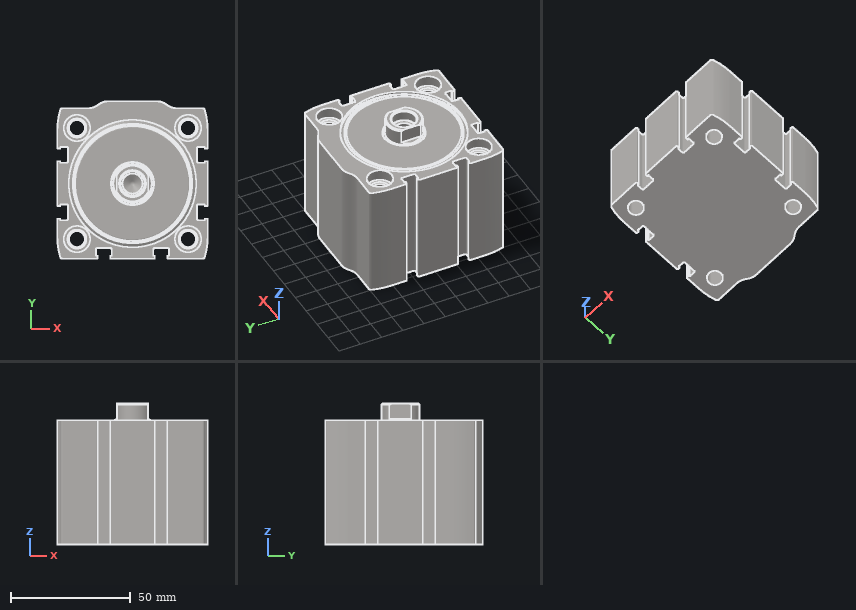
import cadquery as cq
import math

WIDTH = 63.0
DEPTH = 66.0
HOUSING_HEIGHT = 52.0
TOTAL_HEIGHT = 59.0
HALF = WIDTH / 2
BULGE_Y = DEPTH - HALF
BULGE_HALF_WIDTH = 10.0
BULGE_RADIUS = 7.0
SIDE_FLAT_HALF = 22.25
SIDE_ARC_RADIUS = 30.0
CORNER_RADIUS = 1.2

SLOT_OFFSET = 12.0
SLOT_MOUTH = 5.2
SLOT_INNER = 6.5
SLOT_DEPTH = 4.5
SLOT_LIP = 1.4
SLOT_EDGE_RADIUS = 0.45

BOLT_OFFSET = 23.2
BOLT_HOLE_DIAMETER = 6.65
BOLT_CHAMFER_DIAMETER = 8.0
BOLT_COUNTERBORE_DIAMETER = 11.0
BOLT_COUNTERBORE_DEPTH = 5.0

GROOVE_DIAMETER = 53.3
GROOVE_RIDGE_DIAMETER = 50.0
GROOVE_DEPTH = 1.25
RIDGE_DROP = 0.3
RIDGE_INNER_DIAMETER = 49.4
RIDGE_STEP = 0.9
COVER_BEVEL_DIAMETER = 48.05
COVER_FACE_DIAMETER = 46.7
COVER_BEVEL_DROP = 0.1
COVER_DROP = 0.3

WIPER_RECESS_DIAMETER = 18.1
WIPER_FOOT_DIAMETER = 17.5
WIPER_RECESS_DEPTH = 1.2
WIPER_HEIGHT = 0.9

ROD_DIAMETER = 16.0
ROD_LENGTH = 30.0
ROD_CHAMFER = 0.5
FLAT_WIDTH = 13.1
FLAT_END_ABOVE_HOUSING = 0.6
FLAT_RUNOUT_ANGLE = 30
BORE_CHAMFER_DIAMETER = 11.35
BORE_DIAMETER = 10.5
BORE_DEPTH = 5.0
THREAD_MAJOR_DIAMETER = 10.0
THREAD_MINOR_DIAMETER = 8.4
THREAD_DEPTH = 15.0
DRILL_POINT_ANGLE = 118

ROD_BOTTOM = TOTAL_HEIGHT - ROD_LENGTH


def revolved(profile):
    """Solid of revolution about Z from (radius, height) points."""
    return cq.Workplane("XZ").polyline(profile).close().revolve(360, (0, 0), (0, 1))


def rod_cylinder():
    """Plain rod cylinder, also the cutter for its blind hole in the housing."""
    return cq.Workplane("XY", origin=(0, 0, ROD_BOTTOM)).circle(ROD_DIAMETER / 2).extrude(ROD_LENGTH)


def housing_blank():
    """Extruded outline: sides curving in at both ends, and a central bulge on the +Y side."""
    rise = BULGE_Y - HALF
    bulge_run = math.sqrt(4 * BULGE_RADIUS * rise - rise**2)
    bulge_foot = BULGE_HALF_WIDTH + bulge_run
    bulge_middle = (bulge_foot + BULGE_HALF_WIDTH) / 2
    bulge_middle_y = (BULGE_Y + HALF) / 2
    arc_run = HALF - SIDE_FLAT_HALF
    corner_x = HALF - SIDE_ARC_RADIUS + math.sqrt(SIDE_ARC_RADIUS**2 - arc_run**2)

    outline = (
        cq.Workplane("XY")
        .moveTo(-corner_x, -HALF)
        .lineTo(corner_x, -HALF)
        .radiusArc((HALF, -SIDE_FLAT_HALF), -SIDE_ARC_RADIUS)
        .lineTo(HALF, SIDE_FLAT_HALF)
        .radiusArc((corner_x, HALF), -SIDE_ARC_RADIUS)
        .lineTo(bulge_foot, HALF)
        .radiusArc((bulge_middle, bulge_middle_y), BULGE_RADIUS)
        .radiusArc((BULGE_HALF_WIDTH, BULGE_Y), -BULGE_RADIUS)
        .lineTo(-BULGE_HALF_WIDTH, BULGE_Y)
        .radiusArc((-bulge_middle, bulge_middle_y), -BULGE_RADIUS)
        .radiusArc((-bulge_foot, HALF), BULGE_RADIUS)
        .lineTo(-corner_x, HALF)
        .radiusArc((-HALF, SIDE_FLAT_HALF), -SIDE_ARC_RADIUS)
        .lineTo(-HALF, -SIDE_FLAT_HALF)
        .radiusArc((-corner_x, -HALF), -SIDE_ARC_RADIUS)
        .close()
    )
    blank = outline.extrude(HOUSING_HEIGHT)
    for x in (-corner_x, corner_x):
        for y in (-HALF, HALF):
            corner = cq.selectors.NearestToPointSelector((x, y, HOUSING_HEIGHT / 2))
            blank = blank.edges(corner).fillet(CORNER_RADIUS)
    return blank


def t_slot():
    """Cutter for one T-slot opening towards +X, centred on Y = 0, with a rounded mouth."""
    r = SLOT_EDGE_RADIUS
    mouth = SLOT_MOUTH / 2
    inner = SLOT_INNER / 2
    return (
        cq.Workplane("XY")
        .moveTo(HALF, -mouth - r)
        .radiusArc((HALF - r, -mouth), -r)
        .lineTo(HALF - SLOT_LIP, -mouth)
        .lineTo(HALF - SLOT_LIP, -inner)
        .lineTo(HALF - SLOT_DEPTH, -inner)
        .lineTo(HALF - SLOT_DEPTH, inner)
        .lineTo(HALF - SLOT_LIP, inner)
        .lineTo(HALF - SLOT_LIP, mouth)
        .lineTo(HALF - r, mouth)
        .radiusArc((HALF, mouth + r), -r)
        .close()
        .extrude(HOUSING_HEIGHT)
        .edges("|Z and <X")
        .fillet(SLOT_EDGE_RADIUS)
    )


def bolt_hole():
    """Cutter for one counterbored through hole with a chamfered thread entry."""
    floor = HOUSING_HEIGHT - BOLT_COUNTERBORE_DEPTH
    hole = BOLT_HOLE_DIAMETER / 2
    entry = BOLT_CHAMFER_DIAMETER / 2
    counterbore = BOLT_COUNTERBORE_DIAMETER / 2
    return revolved([
        (0, 0),
        (hole, 0),
        (hole, floor - (entry - hole)),
        (entry, floor),
        (counterbore, floor),
        (counterbore, HOUSING_HEIGHT),
        (0, HOUSING_HEIGHT),
    ])


def cover_relief():
    """Cutter that shapes the round cover face, its groove and the wiper recess."""
    cover = HOUSING_HEIGHT - COVER_DROP
    bevel = cover - COVER_BEVEL_DROP
    recess_floor = cover - WIPER_RECESS_DEPTH
    return revolved([
        (0, HOUSING_HEIGHT),
        (GROOVE_DIAMETER / 2, HOUSING_HEIGHT),
        (GROOVE_DIAMETER / 2, HOUSING_HEIGHT - GROOVE_DEPTH),
        (GROOVE_RIDGE_DIAMETER / 2, HOUSING_HEIGHT - RIDGE_DROP),
        (GROOVE_RIDGE_DIAMETER / 2, bevel - RIDGE_STEP),
        (RIDGE_INNER_DIAMETER / 2, bevel - RIDGE_STEP),
        (COVER_BEVEL_DIAMETER / 2, bevel),
        (COVER_FACE_DIAMETER / 2, cover),
        (WIPER_RECESS_DIAMETER / 2, cover),
        (WIPER_RECESS_DIAMETER / 2, recess_floor),
        (WIPER_FOOT_DIAMETER / 2, recess_floor),
        (ROD_DIAMETER / 2, recess_floor + WIPER_HEIGHT),
        (0, recess_floor + WIPER_HEIGHT),
    ])


def make_housing():
    housing = housing_blank()
    slot = t_slot()
    for offset in (-SLOT_OFFSET, SLOT_OFFSET):
        for side_angle in (0, 180, 270):
            placed = slot.translate((0, offset, 0)).rotate((0, 0, 0), (0, 0, 1), side_angle)
            housing = housing.cut(placed)
    hole = bolt_hole()
    for x in (-BOLT_OFFSET, BOLT_OFFSET):
        for y in (-BOLT_OFFSET, BOLT_OFFSET):
            housing = housing.cut(hole.translate((x, y, 0)))
    return housing.cut(cover_relief()).cut(rod_cylinder())


def rod_bore():
    """Cutter for the stepped, threaded-size bore in the end of the rod."""
    chamfer = (BORE_CHAMFER_DIAMETER - BORE_DIAMETER) / 2
    floor = TOTAL_HEIGHT - BORE_DEPTH
    thread_entry = (THREAD_MAJOR_DIAMETER - THREAD_MINOR_DIAMETER) / 2
    thread_end = TOTAL_HEIGHT - THREAD_DEPTH
    point = THREAD_MINOR_DIAMETER / 2 / math.tan(math.radians(DRILL_POINT_ANGLE / 2))
    return revolved([
        (0, TOTAL_HEIGHT),
        (BORE_CHAMFER_DIAMETER / 2, TOTAL_HEIGHT),
        (BORE_DIAMETER / 2, TOTAL_HEIGHT - chamfer),
        (BORE_DIAMETER / 2, floor),
        (THREAD_MAJOR_DIAMETER / 2, floor),
        (THREAD_MINOR_DIAMETER / 2, floor - thread_entry),
        (THREAD_MINOR_DIAMETER / 2, thread_end),
        (0, thread_end - point),
    ])


def wrench_flat():
    """Cutter for the +X wrench flat, ending in a sloped run-out."""
    radius = ROD_DIAMETER / 2
    flat = FLAT_WIDTH / 2
    end = HOUSING_HEIGHT + FLAT_END_ABOVE_HOUSING
    runout_drop = (radius - flat) * math.tan(math.radians(FLAT_RUNOUT_ANGLE))
    return (
        cq.Workplane("XZ")
        .polyline([(flat, TOTAL_HEIGHT), (flat, end), (radius, end - runout_drop), (radius, TOTAL_HEIGHT)])
        .close()
        .extrude(radius, both=True)
    )


def make_rod():
    rod = rod_cylinder().faces(">Z").chamfer(ROD_CHAMFER)
    flat = wrench_flat()
    return rod.cut(flat).cut(flat.mirror("YZ")).cut(rod_bore())


housing = make_housing()
rod = make_rod()
result = cq.Compound.makeCompound([housing.solids().val(), rod.solids().val()])